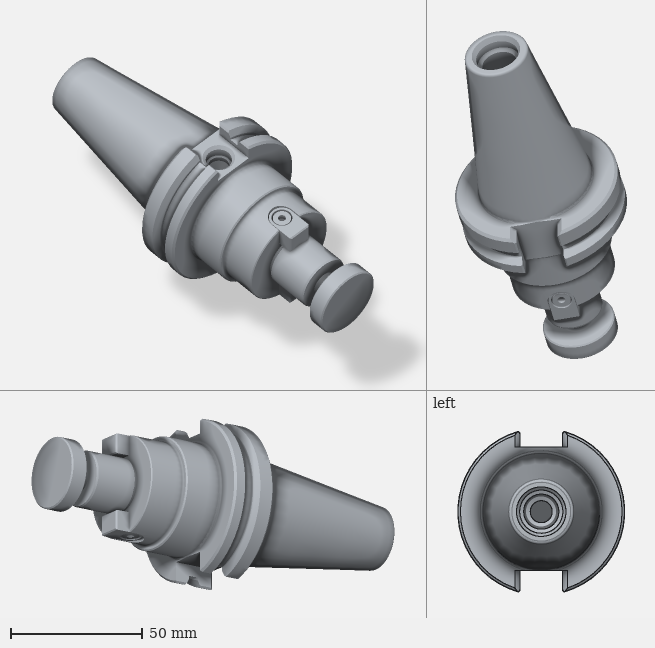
import cadquery as cq
import math


gauge_radius = 44.45 / 2
taper_length = 68.4
taper_slope = (7 / 24) / 2
taper_end_round = 1.2
bore_mouth_radius = 18.86 / 2
bore_pilot_radius = 16.46 / 2
bore_thread_radius = 13.39 / 2
bore_mouth_angle = math.radians(30)
bore_step_angle = math.radians(59)
bore_pilot_end = 5.3
bore_thread_end = 30.0
bore_core_radius = 8.38 / 2

flange_start = 1.0
flange_end = 19.1
flange_radius = 63.55 / 2
flange_front_chamfer = 1.0
flange_back_chamfer = 0.8
root_fillet = 1.0
groove_center = 11.05
groove_mouth_width = 7.0
groove_slot_width = 4.0
groove_bottom_radius = 56.25 / 2
groove_wall_angle = math.radians(30)

slot_width = 16.1
slot_chamfer = 2.0
slot_edge_chamfer = 0.67
upper_slot_floor = 24.7
lower_slot_floor = 22.5

chip_hole_radius = 5.0
chip_hole_depth = 4.6
chip_hole_chamfer = 1.2
chip_drill_radius = 4.0
chip_drill_depth = 2.0
chip_drill_angle = math.radians(59)

hub_end = 35.0
hub_chamfer = 0.5
seat_radius = 20.1
seat_end = 49.8
seat_fillet = 0.8
seat_chamfer = 0.4
spigot_radius = 21.99 / 2
spigot_end = seat_end + 19.0
spigot_chamfer = 0.8
spigot_chamfer_height = 0.3
neck_radius = 20.47 / 2
neck_width = 1.0
neck_taper_width = 0.5

screw_radius = 10.13 / 2
screw_engagement = 25.0
screw_head_radius = 28.0 / 2
screw_head_start = spigot_end + 6.4
screw_head_end = screw_head_start + 7.01
screw_head_chamfer = 0.5
screw_root_fillet = 1.0

key_width = 10.0
key_screw_x = 45.8
key_front = 55.8
key_bottom = 11.3
key_top = 19.2
key_chamfer = 0.5
pocket_radius = 10.6 / 2
key_screw_head_radius = 7.0 / 2
key_screw_head_height = 4.0
key_screw_head_sink = 0.3
key_screw_head_top = key_top - key_screw_head_sink
key_screw_head_bottom = key_screw_head_top - key_screw_head_height
key_counterbore_radius = 8.0 / 2
key_clearance_radius = 4.5 / 2
key_screw_radius = 4.0 / 2
key_screw_tip = 6.5
key_socket_radius = 3.0 / 2
key_socket_depth = 2.0

key_turns = (0, 180)


def revolve_about_axis(profile):
    """Turn a closed (x, radius) profile around the X axis."""
    return profile.close().revolve(360, (0, 0, 0), (1, 0, 0))


def root_fillet_middle(face_x, shaft_radius, fillet_radius, side):
    """Middle point of the fillet between a shaft and a face; side is +1 if the shaft lies on +X."""
    inset = fillet_radius * (1 - math.sqrt(0.5))
    return (face_x + side * inset, shaft_radius + inset)


def cylinder_along_z(x, radius, bottom, top):
    return cq.Workplane("XY", origin=(x, 0, bottom)).circle(radius).extrude(top - bottom)


def turned_blank():
    """Outside of the holder: taper, grooved flange, hub, seat and spigot."""
    end_radius = gauge_radius - taper_slope * taper_length
    wall_run = (groove_mouth_width - groove_slot_width) / 2
    wall_foot_radius = flange_radius - wall_run / math.tan(groove_wall_angle)
    half_mouth = groove_mouth_width / 2
    half_slot = groove_slot_width / 2
    front_mid = root_fillet_middle(flange_start, gauge_radius, root_fillet, -1)
    back_mid = root_fillet_middle(flange_end, gauge_radius, root_fillet, 1)
    seat_mid = root_fillet_middle(hub_end, seat_radius, seat_fillet, 1)
    neck_end = seat_end + neck_width
    profile = (
        cq.Workplane("XY")
        .moveTo(-taper_length, 0)
        .lineTo(-taper_length, end_radius)
        .lineTo(flange_start - root_fillet, gauge_radius)
        .threePointArc(front_mid, (flange_start, gauge_radius + root_fillet))
        .lineTo(flange_start, flange_radius - flange_front_chamfer)
        .lineTo(flange_start + flange_front_chamfer, flange_radius)
        .lineTo(groove_center - half_mouth, flange_radius)
        .lineTo(groove_center - half_slot, wall_foot_radius)
        .lineTo(groove_center - half_slot, groove_bottom_radius)
        .lineTo(groove_center + half_slot, groove_bottom_radius)
        .lineTo(groove_center + half_slot, wall_foot_radius)
        .lineTo(groove_center + half_mouth, flange_radius)
        .lineTo(flange_end - flange_back_chamfer, flange_radius)
        .lineTo(flange_end, flange_radius - flange_back_chamfer)
        .lineTo(flange_end, gauge_radius + root_fillet)
        .threePointArc(back_mid, (flange_end + root_fillet, gauge_radius))
        .lineTo(hub_end - hub_chamfer, gauge_radius)
        .lineTo(hub_end, gauge_radius - hub_chamfer)
        .lineTo(hub_end, seat_radius + seat_fillet)
        .threePointArc(seat_mid, (hub_end + seat_fillet, seat_radius))
        .lineTo(seat_end - seat_chamfer, seat_radius)
        .lineTo(seat_end, seat_radius - seat_chamfer)
        .lineTo(seat_end, neck_radius)
        .lineTo(neck_end, neck_radius)
        .lineTo(neck_end + neck_taper_width, spigot_radius)
        .lineTo(spigot_end - spigot_chamfer, spigot_radius)
        .lineTo(spigot_end, spigot_radius - spigot_chamfer_height)
        .lineTo(spigot_end, 0)
    )
    blank = revolve_about_axis(profile)
    return blank.faces("<X").edges().fillet(taper_end_round)


def axial_bore():
    """Drawbar bore from the small end, core hole, and the seat of the clamping screw."""
    start = -taper_length
    mouth_run = (bore_mouth_radius - bore_pilot_radius) / math.tan(bore_mouth_angle)
    step_run = (bore_pilot_radius - bore_thread_radius) / math.tan(bore_step_angle)
    thread_end = start + bore_thread_end
    tip_run = (bore_thread_radius - bore_core_radius) / math.tan(bore_step_angle)
    screw_tip = spigot_end - screw_engagement
    profile = (
        cq.Workplane("XY")
        .moveTo(start, 0)
        .lineTo(start, bore_mouth_radius)
        .lineTo(start + mouth_run, bore_pilot_radius)
        .lineTo(start + bore_pilot_end, bore_pilot_radius)
        .lineTo(start + bore_pilot_end + step_run, bore_thread_radius)
        .lineTo(thread_end, bore_thread_radius)
        .lineTo(thread_end + tip_run, bore_core_radius)
        .lineTo(screw_tip, bore_core_radius)
        .lineTo(screw_tip, screw_radius)
        .lineTo(spigot_end, screw_radius)
        .lineTo(spigot_end, 0)
    )
    return revolve_about_axis(profile)


def driving_slot(floor, side):
    """Slot through the flange on the +Z or -Z side, walls chamfered at the front face and rim."""
    half = slot_width / 2
    slot_start = flange_start - root_fillet
    slot_end = flange_end + root_fillet
    outline = (
        cq.Workplane("XY", origin=(0, 0, side * floor))
        .moveTo(slot_start, -half - slot_chamfer)
        .lineTo(flange_start, -half - slot_chamfer)
        .lineTo(flange_start + slot_chamfer, -half)
        .lineTo(slot_end, -half)
        .lineTo(slot_end, half)
        .lineTo(flange_start + slot_chamfer, half)
        .lineTo(flange_start, half + slot_chamfer)
        .lineTo(slot_start, half + slot_chamfer)
        .close()
    )
    slot = outline.extrude(side * (flange_radius - floor))
    corner = half + slot_edge_chamfer
    corner_height = math.sqrt(flange_radius**2 - corner**2)
    bevel = (
        cq.Workplane("YZ", origin=(flange_start, 0, 0))
        .moveTo(-half, side * (corner_height - slot_edge_chamfer))
        .lineTo(half, side * (corner_height - slot_edge_chamfer))
        .lineTo(corner, side * corner_height)
        .lineTo(corner, side * flange_radius)
        .lineTo(-corner, side * flange_radius)
        .lineTo(-corner, side * corner_height)
        .close()
        .extrude(flange_end - flange_start)
    )
    return slot.union(bevel)


def chip_hole():
    """Chamfered flat-bottomed hole with a smaller drilled hole in its floor."""
    floor = upper_slot_floor - chip_hole_depth
    drill_end = floor - chip_drill_depth
    tip = drill_end - chip_drill_radius / math.tan(chip_drill_angle)
    profile = (
        cq.Workplane("XZ")
        .moveTo(0, tip)
        .lineTo(chip_drill_radius, drill_end)
        .lineTo(chip_drill_radius, floor)
        .lineTo(chip_hole_radius, floor)
        .lineTo(chip_hole_radius, upper_slot_floor - chip_hole_chamfer)
        .lineTo(chip_hole_radius + chip_hole_chamfer, upper_slot_floor)
        .lineTo(0, upper_slot_floor)
        .close()
    )
    return profile.revolve(360, (0, 0, 0), (0, 1, 0)).translate((groove_center, 0, 0))


def key_outline(radius, front, bottom):
    """Tongue outline: round end about the key screw, straight sides running forward."""
    return (
        cq.Workplane("XY", origin=(key_screw_x, 0, bottom))
        .moveTo(0, radius)
        .threePointArc((-radius, 0), (0, -radius))
        .lineTo(front - key_screw_x, -radius)
        .lineTo(front - key_screw_x, radius)
        .close()
    )


def turned_about_axis(body, turn):
    return body.rotate((0, 0, 0), (1, 0, 0), turn)


def make_holder():
    holder = turned_blank().cut(axial_bore())
    holder = holder.cut(driving_slot(upper_slot_floor, 1))
    holder = holder.cut(driving_slot(lower_slot_floor, -1))
    holder = holder.cut(chip_hole())
    pocket = key_outline(pocket_radius, seat_end, key_bottom).extrude(seat_radius - key_bottom)
    screw_hole = cylinder_along_z(key_screw_x, key_screw_radius, key_screw_tip, key_bottom)
    for turn in key_turns:
        holder = holder.cut(turned_about_axis(pocket, turn))
        holder = holder.cut(turned_about_axis(screw_hole, turn))
    return holder


def make_clamping_screw():
    root_mid = root_fillet_middle(screw_head_start, screw_radius, screw_root_fillet, -1)
    profile = (
        cq.Workplane("XY")
        .moveTo(spigot_end - screw_engagement, 0)
        .lineTo(spigot_end - screw_engagement, screw_radius)
        .lineTo(screw_head_start - screw_root_fillet, screw_radius)
        .threePointArc(root_mid, (screw_head_start, screw_radius + screw_root_fillet))
        .lineTo(screw_head_start, screw_head_radius - screw_head_chamfer)
        .lineTo(screw_head_start + screw_head_chamfer, screw_head_radius)
        .lineTo(screw_head_end - screw_head_chamfer, screw_head_radius)
        .lineTo(screw_head_end, screw_head_radius - screw_head_chamfer)
        .lineTo(screw_head_end, 0)
    )
    return revolve_about_axis(profile)


def make_drive_key(turn):
    key = key_outline(key_width / 2, key_front, key_bottom).extrude(key_top - key_bottom)
    key = key.faces(">X").edges().chamfer(key_chamfer)
    counterbore = cylinder_along_z(key_screw_x, key_counterbore_radius, key_screw_head_bottom, key_top)
    clearance = cylinder_along_z(key_screw_x, key_clearance_radius, key_bottom, key_top)
    return turned_about_axis(key.cut(counterbore).cut(clearance), turn)


def make_key_screw(turn):
    head = cylinder_along_z(key_screw_x, key_screw_head_radius, key_screw_head_bottom, key_screw_head_top)
    shank = cylinder_along_z(key_screw_x, key_screw_radius, key_screw_tip, key_screw_head_bottom)
    socket_floor = key_screw_head_top - key_socket_depth
    socket = cylinder_along_z(key_screw_x, key_socket_radius, socket_floor, key_screw_head_top)
    return turned_about_axis(head.union(shank).cut(socket), turn)


holder = make_holder()
clamping_screw = make_clamping_screw()
drive_keys = [make_drive_key(turn) for turn in key_turns]
key_screws = [make_key_screw(turn) for turn in key_turns]

bodies = [holder, clamping_screw, *drive_keys, *key_screws]
result = cq.Compound.makeCompound([body.val() for body in bodies])